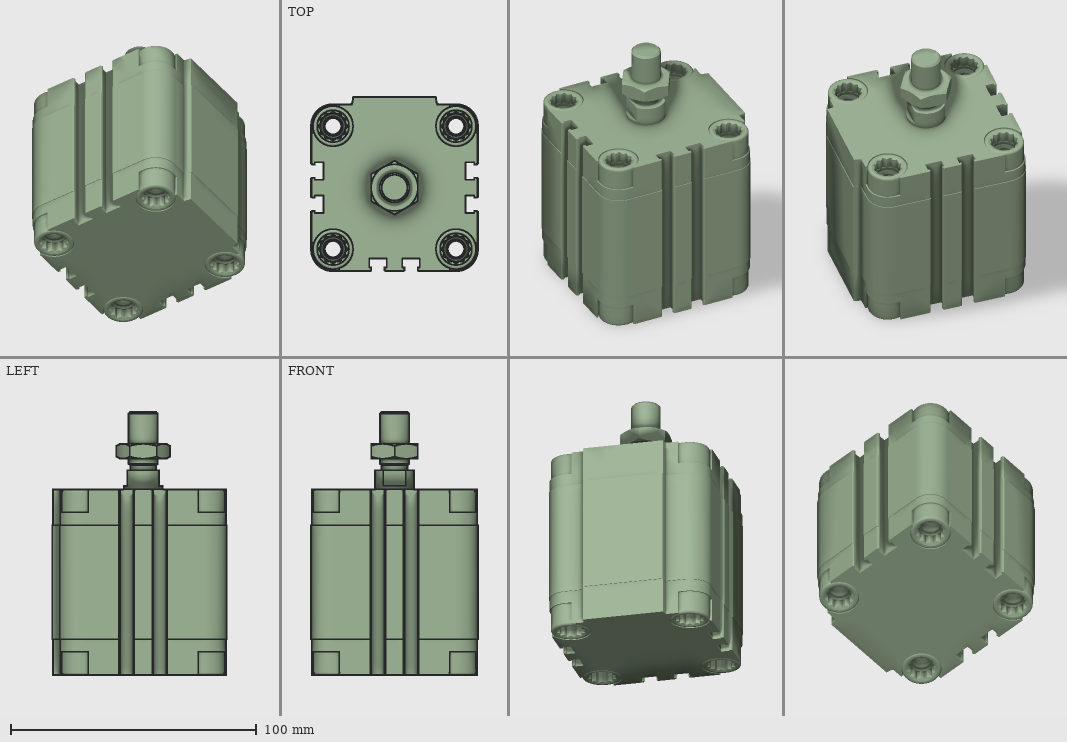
import cadquery as cq
import math

barrel_half_width = 34.0
cap_inset = 0.3
cap_half_width = barrel_half_width - cap_inset
housing_height = 75.5
cap_height = 14.5
barrel_height = housing_height - 2 * cap_height
screw_offset = 25.0

pad_rise = 3.0
pad_base_half_width = 17.3
pad_top_half_width = 16.8
pad_base_fillet = 0.6

slot_offset = 6.75
slot_mouth_width = 5.3
slot_inner_width = 7.0
slot_lip = 1.6
slot_depth = 5.1
slot_mouth_chamfer = 0.45

recess_edge = 22.4
recess_depth = 9.4
head_radius = 8.15
head_fillet = 1.0
funnel_radius = 6.5
funnel_depth = 0.7
socket_diameter = 10.2
socket_depth = 6.2
tooth_count = 12
tooth_tip_radius = 6.0
tooth_depth = 5.0
bore_diameter = 6.65
bore_mouth_diameter = 8.0

rod_diameter = 16.0
rod_collar_height = 7.8
rod_flat_width = 13.0
rod_flange_height = 1.4
neck_diameter = 10.65
thread_diameter = 12.0
thread_tip_diameter = 10.47
thread_chamfer = (thread_diameter - thread_tip_diameter) / 2
thread_start = 85.3
rod_top = 107.0

nut_width = 19.0
nut_height = 6.0
nut_bottom = 88.0
nut_chamfer_angle = 30.0


def housing_section(half_width, height):
    """Rounded square prism with the raised pad on +Y and a pair of T-slots on each other side."""
    corner_radius = half_width - screw_offset
    square = (
        cq.Workplane("XY")
        .rect(2 * half_width, 2 * half_width)
        .extrude(height)
        .edges("|Z")
        .fillet(corner_radius)
    )
    pad = (
        cq.Workplane("XY")
        .polyline([
            (-pad_base_half_width, 0),
            (pad_base_half_width, 0),
            (pad_base_half_width, half_width),
            (pad_top_half_width, half_width + pad_rise),
            (-pad_top_half_width, half_width + pad_rise),
            (-pad_base_half_width, half_width),
        ])
        .close()
        .extrude(height)
    )
    section = square.union(pad)
    margin = pad_base_fillet / 2
    pad_roots = cq.selectors.BoxSelector(
        (-pad_base_half_width - margin, half_width - margin, 0),
        (pad_base_half_width + margin, half_width + margin, height),
    )
    section = section.edges("|Z").edges(pad_roots).fillet(pad_base_fillet)

    for side_angle in (-90, 0, 90):
        for offset in (-slot_offset, slot_offset):
            slot = t_slot(half_width, height).translate((offset, 0, 0))
            section = section.cut(slot.rotate((0, 0, 0), (0, 0, 1), side_angle))
    return section


def t_slot(half_width, height):
    """T-slot cutter open on the -Y side, its mouth chamfered at the given outer face."""
    mouth = slot_mouth_width / 2
    inner = slot_inner_width / 2
    flare = mouth + slot_mouth_chamfer
    lip_y = -barrel_half_width + slot_lip
    floor_y = -barrel_half_width + slot_depth
    return (
        cq.Workplane("XY")
        .polyline([
            (-flare, -half_width),
            (flare, -half_width),
            (mouth, -half_width + slot_mouth_chamfer),
            (mouth, lip_y),
            (inner, lip_y),
            (inner, floor_y),
            (-inner, floor_y),
            (-inner, lip_y),
            (-mouth, lip_y),
            (-mouth, -half_width + slot_mouth_chamfer),
        ])
        .close()
        .extrude(height)
    )


def screw_head():
    """Plain screw head with a rounded rim, its top at the top of the housing."""
    return (
        cq.Workplane("XY", origin=(0, 0, housing_height - recess_depth))
        .circle(head_radius)
        .extrude(recess_depth)
        .faces(">Z")
        .edges()
        .fillet(head_fillet)
    )


def socket():
    """Toothed drive socket cutter with a funnel mouth and a countersunk floor."""
    socket_radius = socket_diameter / 2
    bore_radius = bore_diameter / 2
    mouth_radius = bore_mouth_diameter / 2
    floor = housing_height - socket_depth
    countersink_bottom = floor - (mouth_radius - bore_radius)
    round_part = (
        cq.Workplane("XZ")
        .polyline([
            (0, housing_height),
            (funnel_radius, housing_height),
            (socket_radius, housing_height - funnel_depth),
            (socket_radius, floor),
            (mouth_radius, floor),
            (bore_radius, countersink_bottom),
            (0, countersink_bottom),
        ])
        .close()
        .revolve(360, (0, 0, 0), (0, 1, 0))
    )
    points = []
    for i in range(2 * tooth_count):
        angle = math.pi * i / tooth_count
        radius = tooth_tip_radius if i % 2 == 0 else socket_radius
        points.append((radius * math.cos(angle), radius * math.sin(angle)))
    tooth_top = housing_height - funnel_depth / 2
    tooth_bottom = housing_height - tooth_depth
    teeth = (
        cq.Workplane("XY", origin=(0, 0, tooth_bottom))
        .polyline(points)
        .close()
        .extrude(tooth_top - tooth_bottom)
    )
    return round_part.union(teeth)


def both_ends(shape):
    """The shape at the top of the housing and its mirror image at the bottom."""
    middle = (0, 0, housing_height / 2)
    return [shape, shape.mirror("XY", middle)]


def build_housing():
    bottom_cap = housing_section(cap_half_width, cap_height)
    barrel = housing_section(barrel_half_width, barrel_height).translate((0, 0, cap_height))
    top_cap = bottom_cap.translate((0, 0, housing_height - cap_height))
    housing = bottom_cap.union(barrel).union(top_cap)

    recess_floor = housing_height - recess_depth
    recess_size = barrel_half_width - recess_edge
    corner_block = (
        cq.Workplane("XY", origin=(0, 0, recess_floor))
        .box(recess_size, recess_size, recess_depth, centered=False)
    )
    head_pocket = (
        cq.Workplane("XY", origin=(0, 0, recess_floor))
        .circle(head_radius)
        .extrude(recess_depth)
    )
    bore = cq.Workplane("XY").circle(bore_diameter / 2).extrude(housing_height)

    for x_side in (-1, 1):
        for y_side in (-1, 1):
            centre = (x_side * screw_offset, y_side * screw_offset, 0)
            block_corner = (
                recess_edge if x_side > 0 else -barrel_half_width,
                recess_edge if y_side > 0 else -barrel_half_width,
                0,
            )
            for block in both_ends(corner_block.translate(block_corner)):
                housing = housing.cut(block)
            for pocket in both_ends(head_pocket.translate(centre)):
                housing = housing.cut(pocket)
            for head in both_ends(screw_head().translate(centre)):
                housing = housing.union(head)
            for drive in both_ends(socket().translate(centre)):
                housing = housing.cut(drive)
            housing = housing.cut(bore.translate(centre))
    return housing


def build_rod():
    """Piston rod standing on the housing, with wrench flats facing -Y and +Y."""
    collar_radius = rod_diameter / 2
    neck_radius = neck_diameter / 2
    thread_radius = thread_diameter / 2
    tip_radius = thread_tip_diameter / 2
    collar_top = housing_height + rod_collar_height
    rod = (
        cq.Workplane("XZ")
        .polyline([
            (0, housing_height),
            (collar_radius, housing_height),
            (collar_radius, collar_top),
            (neck_radius, collar_top),
            (neck_radius, thread_start),
            (thread_radius, thread_start + thread_radius - neck_radius),
            (thread_radius, rod_top - thread_chamfer),
            (tip_radius, rod_top),
            (0, rod_top),
        ])
        .close()
        .revolve(360, (0, 0, 0), (0, 1, 0))
    )
    flat_depth = (rod_diameter - rod_flat_width) / 2
    flat_height = rod_collar_height - rod_flange_height
    flat_centre = (rod_flat_width + flat_depth) / 2
    for side in (-1, 1):
        flat = (
            cq.Workplane("XY", origin=(0, side * flat_centre, housing_height + rod_flange_height))
            .box(rod_diameter, flat_depth, flat_height, centered=(True, True, False))
        )
        rod = rod.cut(flat)
    return rod


def build_nut():
    """Hexagon nut with flats facing -X and +X and both faces chamfered."""
    corner_radius = nut_width / 2 / math.cos(math.pi / 6)
    flat_radius = nut_width / 2
    chamfer_drop = (corner_radius - flat_radius) * math.tan(math.radians(nut_chamfer_angle))
    hexagon = (
        cq.Workplane("XY")
        .polygon(6, 2 * corner_radius)
        .extrude(nut_height)
        .rotate((0, 0, 0), (0, 0, 1), 30)
    )
    envelope = (
        cq.Workplane("XZ")
        .polyline([
            (0, 0),
            (flat_radius, 0),
            (corner_radius, chamfer_drop),
            (corner_radius, nut_height - chamfer_drop),
            (flat_radius, nut_height),
            (0, nut_height),
        ])
        .close()
        .revolve(360, (0, 0, 0), (0, 1, 0))
    )
    hole = cq.Workplane("XY").circle(thread_diameter / 2).extrude(nut_height)
    return hexagon.intersect(envelope).cut(hole).translate((0, 0, nut_bottom))


housing = build_housing()
rod = build_rod()
nut = build_nut()

result = cq.Compound.makeCompound([housing.val(), rod.val(), nut.val()])